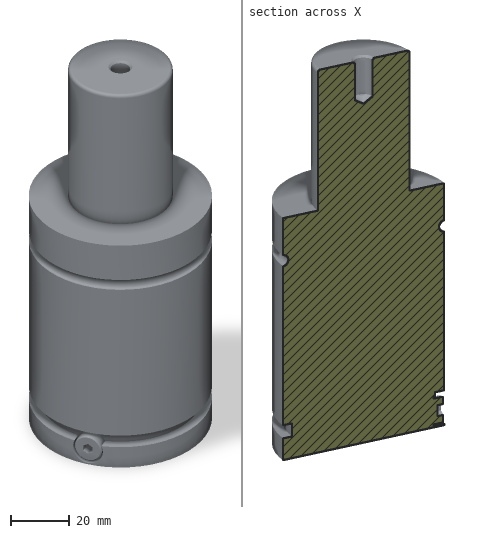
import cadquery as cq
import math

total_height = 144.0
body_diameter = 63.0
body_height = 91.2
body_radius = body_diameter / 2

rod_diameter = 36.0
rod_edge_radius = 1.2
rod_hole_diameter = 6.8
rod_hole_mouth_diameter = 8.2
rod_hole_depth = 14.4
drill_point_angle = 118.0

square_groove_bottom = 8.4
square_groove_top = 13.1
square_groove_diameter = 56.0

round_groove_radius = 2.0
round_groove_height = 75.0

plug_height = 6.0
plug_pocket_diameter = 11.0
plug_diameter = 10.0
plug_chamfer = 0.5
plug_face_distance = 31.1
plug_pocket_floor_distance = 27.4
socket_across_flats = 3.5
socket_depth = 2.2


def cylinder(diameter, bottom, top):
    """Cylinder on the Z axis between two heights."""
    return cq.Workplane("XY").workplane(offset=bottom).circle(diameter / 2).extrude(top - bottom)


def plug_plane(distance):
    """Plane facing -Y, centred on the plug axis at a distance from the body axis."""
    return cq.Workplane("XZ", origin=(0, -distance, plug_height))


def make_body():
    """Body with a square retaining groove and a round groove turned into it."""
    body = cylinder(body_diameter, 0, body_height)
    core = cylinder(square_groove_diameter, square_groove_bottom, square_groove_top)
    square_groove = cylinder(body_diameter, square_groove_bottom, square_groove_top).cut(core)
    round_groove = (
        cq.Workplane("XZ")
        .center(body_radius, round_groove_height)
        .circle(round_groove_radius)
        .revolve(360, (-body_radius, 0, 0), (-body_radius, 1, 0))
    )
    return body.cut(square_groove).cut(round_groove)


def make_rod():
    """Rod with a rounded end edge."""
    rod = cylinder(rod_diameter, body_height, total_height)
    return rod.faces(">Z").edges().fillet(rod_edge_radius)


def make_rod_hole():
    """Blind drilled hole with a 45 degree mouth and a conical floor."""
    hole_radius = rod_hole_diameter / 2
    mouth_radius = rod_hole_mouth_diameter / 2
    mouth_depth = mouth_radius - hole_radius
    floor = total_height - rod_hole_depth
    tip_depth = hole_radius / math.tan(math.radians(drill_point_angle / 2))
    profile = [
        (0, total_height),
        (mouth_radius, total_height),
        (hole_radius, total_height - mouth_depth),
        (hole_radius, floor),
        (0, floor - tip_depth),
    ]
    return cq.Workplane("XZ").polyline(profile).close().revolve(360, (0, 0, 0), (0, 1, 0))


def make_plug_pocket():
    """Round pocket that leaves a clearance around the plug."""
    depth = body_radius - plug_pocket_floor_distance
    return plug_plane(plug_pocket_floor_distance).circle(plug_pocket_diameter / 2).extrude(depth)


def make_plug():
    """Chamfered plug with a hexagon socket that has corners at top and bottom."""
    length = plug_face_distance - plug_pocket_floor_distance
    plug = plug_plane(plug_pocket_floor_distance).circle(plug_diameter / 2).extrude(length)
    plug = plug.faces("<Y").edges().chamfer(plug_chamfer)
    socket_across_corners = socket_across_flats / math.cos(math.pi / 6)
    socket = (
        plug_plane(plug_face_distance)
        .transformed(rotate=(0, 0, 90))
        .polygon(6, socket_across_corners)
        .extrude(-socket_depth)
    )
    return plug.cut(socket)


cylinder_body = make_body().cut(make_plug_pocket()).union(make_plug())
result = cylinder_body.union(make_rod()).cut(make_rod_hole())